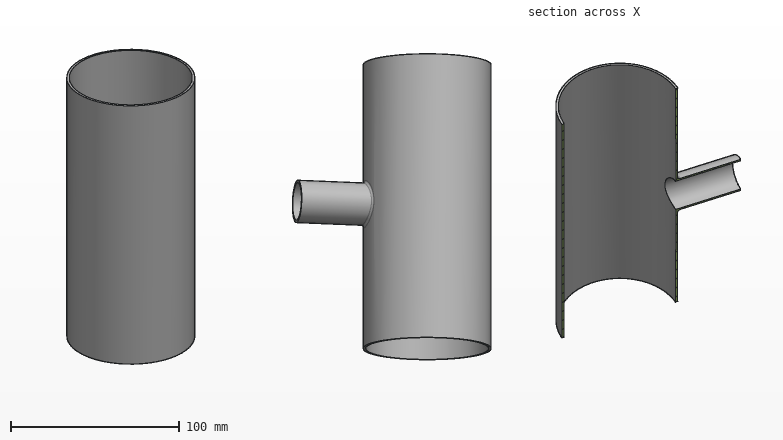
import cadquery as cq

pipe_length = 171.4
pipe_diameter = 76.3
wall = 1.5
pipe_radius = pipe_diameter / 2

branch_diameter = 25.4
overall_depth = 117.5
branch_reach = overall_depth - pipe_radius
weld_fillet = 1.4


def upright_cylinder(diameter):
    """Full-length cylinder on the main axis."""
    return cq.Workplane("XY").circle(diameter / 2).extrude(pipe_length / 2, both=True)


def branch_cylinder(diameter):
    """Cylinder from the main axis out to the branch end."""
    return cq.Workplane("XZ").circle(diameter / 2).extrude(-branch_reach)


tee = upright_cylinder(pipe_diameter).union(branch_cylinder(branch_diameter))
seam = tee.edges("not (%CIRCLE or %LINE)")
tee = seam.fillet(weld_fillet)

pipe_bore = upright_cylinder(pipe_diameter - 2 * wall)
branch_bore = branch_cylinder(branch_diameter - 2 * wall)
result = tee.cut(pipe_bore).cut(branch_bore)